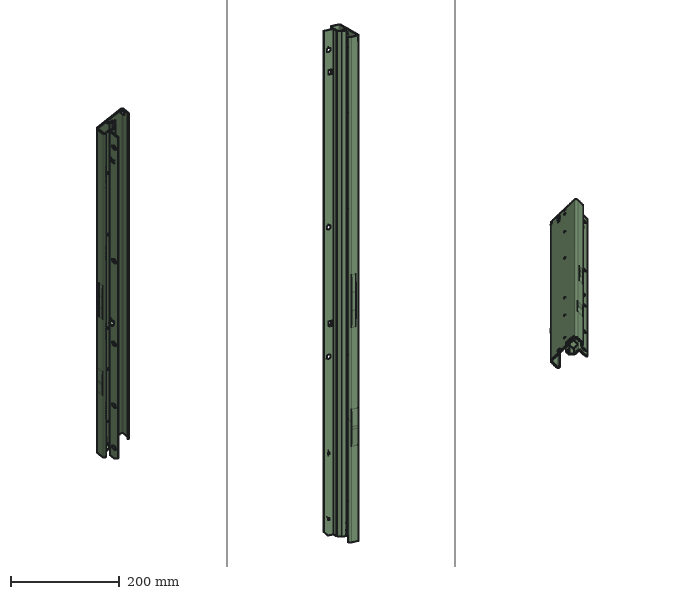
import cadquery as cq

LENGTH = 1000.0
TOTAL_WIDTH = 44.0
TOTAL_DEPTH = 71.0
SHEET = 2.5

BUMP_HEIGHT = 1.5
FLANGE_Y = TOTAL_DEPTH / 2 - BUMP_HEIGHT
RAIL_BEND = 4.0
FLANGE_WIDTH = 21.5
LIP_BEND = 4.0
LIP_DEPTH = 6.0

BUMP_RAMP = 34.0
BUMP_RIGHT = FLANGE_WIDTH - LIP_BEND
BUMPS = [(191.0, 264.0, 3.0), (426.0, 530.0, 8.0)]

FIXING_HOLE_Y = -4.5
FIXING_HOLE_DIAMETER = 4.0
FIXING_HOLE_HEIGHTS = [68.0, 230.0, 357.0, 646.0, 836.0, 965.0, 992.0]
MOUNT_HOLE_Y = 11.0
MOUNT_HOLE_DIAMETER = 7.0
MOUNT_HOLE_HEIGHTS = [20.0, 965.0, 980.0]
PILOT_HOLE_DIAMETER = 5.0
PILOT_HOLE_HEIGHT = 950.0

DIMPLE_Y = 31.0
DIMPLE_HEIGHT = 992.0
DIMPLE_DIAMETER = 6.0
DIMPLE_DEPTH = 2.0
DIMPLE_REACH = 9.0

WINDOW_BACK = -8.0
WINDOW_STEP_Y = -22.0
WINDOW_FRONT = -28.0
WINDOW_BOTTOM = 5.0
WINDOW_STEP_TOP = 16.0
WINDOW_TOP = 22.0
SLIT_FRONT = -20.0
SLIT_BACK = -17.0

STOP_THICKNESS = 3.0
STOP_REACH = 15.0
STOP_BACK = -12.0
STOP_FRONT = -24.0

LEG_RIGHT = 24.0
LEG_LEFT = LEG_RIGHT - SHEET
PLATE_FRONT = -21.0
PLATE_BACK = PLATE_FRONT + SHEET
PLATE_BEND = 3.0
PLATE_CHAMFER = 9.0
HOOK_LEFT = 8.0
HOOK_BACK = 0.5
HOOK_END = -8.0
KNEE_X = 17.0
KNEE_Y = -8.0

SCREW_X = 34.0
SCREW_HEAD_DIAMETER = 11.0
SCREW_HOLE_DIAMETER = 8.0
SCREW_HEIGHTS = [354.0, 610.0, 961.0]
SMALL_SCREW_HOLE_DIAMETER = 4.0
SMALL_SCREW_HEIGHTS = [33.0, 163.0]

SLOT_LEFT = LEG_LEFT + PLATE_BEND
SLOT_RIGHT = 34.0
SLOT_HEIGHT = 9.0
LOWER_SLOT_HEIGHT = 419.0
UPPER_SLOT_HEIGHT = 916.0
SHELF_FRONT = -25.0


def box(x_range, y_range, z_range):
    (x0, x1), (y0, y1), (z0, z1) = x_range, y_range, z_range
    return cq.Workplane("XY", origin=(x0, y0, z0)).box(x1 - x0, y1 - y0, z1 - z0, centered=False)


def x_cylinder(y, z, diameter, x0, x1):
    return cq.Workplane("YZ", origin=(x0, y, z)).circle(diameter / 2).extrude(x1 - x0)


def make_channel():
    full = (0, LENGTH)
    outside = box((0, FLANGE_WIDTH), (-FLANGE_Y, FLANGE_Y), full)
    outside = outside.edges("|Z and <X").fillet(RAIL_BEND)
    outside = outside.edges("|Z and >X").fillet(LIP_BEND)
    inner_y = FLANGE_Y - SHEET
    inside = box((SHEET, FLANGE_WIDTH - SHEET), (-inner_y, inner_y), full)
    inside = inside.edges("|Z and <X").fillet(RAIL_BEND - SHEET)
    inside = inside.edges("|Z and >X").fillet(LIP_BEND - SHEET)
    mouth_y = FLANGE_Y - LIP_DEPTH
    mouth = box((FLANGE_WIDTH / 2, FLANGE_WIDTH), (-mouth_y, mouth_y), full)
    return outside.cut(inside).cut(mouth)


def make_bump(low, high, left):
    """Front-flange bump: a ramp up, a flat crest and a ramp down."""
    root = -FLANGE_Y + SHEET / 2
    crest = -FLANGE_Y - BUMP_HEIGHT
    outline = [
        (root, low),
        (-FLANGE_Y, low),
        (crest, low + BUMP_RAMP),
        (crest, high - BUMP_RAMP),
        (-FLANGE_Y, high),
        (root, high),
    ]
    return cq.Workplane("YZ", origin=(left, 0, 0)).polyline(outline).close().extrude(BUMP_RIGHT - left)


def cut_wall_holes(rail):
    holes = [(FIXING_HOLE_Y, z, FIXING_HOLE_DIAMETER) for z in FIXING_HOLE_HEIGHTS]
    holes += [(MOUNT_HOLE_Y, z, MOUNT_HOLE_DIAMETER) for z in MOUNT_HOLE_HEIGHTS]
    holes.append((MOUNT_HOLE_Y, PILOT_HOLE_HEIGHT, PILOT_HOLE_DIAMETER))
    for y, z, diameter in holes:
        rail = rail.cut(x_cylinder(y, z, diameter, 0, SHEET))
    return rail


def press_dimple(rail):
    boss = x_cylinder(DIMPLE_Y, DIMPLE_HEIGHT, DIMPLE_DIAMETER, SHEET / 2, DIMPLE_REACH)
    recess = x_cylinder(DIMPLE_Y, DIMPLE_HEIGHT, DIMPLE_DIAMETER, 0, DIMPLE_DEPTH)
    return rail.union(boss).cut(recess)


def cut_window(rail):
    wall = (0, SHEET)
    low_part = box(wall, (WINDOW_FRONT, WINDOW_BACK), (WINDOW_BOTTOM, WINDOW_STEP_TOP))
    high_part = box(wall, (WINDOW_STEP_Y, WINDOW_BACK), (WINDOW_BOTTOM, WINDOW_TOP))
    slit = box(wall, (SLIT_FRONT, SLIT_BACK), (0, WINDOW_BOTTOM))
    return rail.cut(low_part).cut(high_part).cut(slit)


def make_outer_rail():
    rail = make_channel()
    for low, high, left in BUMPS:
        bump = make_bump(low, high, left)
        rail = rail.union(bump).union(bump.mirror("XZ"))
    rail = cut_wall_holes(rail)
    rail = press_dimple(rail)
    return cut_window(rail)


def make_stop():
    height = (WINDOW_BOTTOM, WINDOW_BOTTOM + STOP_THICKNESS)
    head = box((0, SHEET), (WINDOW_FRONT, WINDOW_BACK), height)
    stem = box((SHEET, STOP_REACH), (STOP_FRONT, STOP_BACK), height)
    return head.union(stem)


def make_bent_sheet():
    outline = [
        (HOOK_LEFT, HOOK_BACK),
        (KNEE_X, HOOK_BACK),
        (LEG_RIGHT, KNEE_Y),
        (LEG_RIGHT, PLATE_FRONT),
        (HOOK_LEFT, PLATE_FRONT),
    ]
    solid = cq.Workplane("XY").polyline(outline).close().extrude(LENGTH)
    core = cq.Workplane("XY").polyline(outline).close().offset2D(-SHEET).extrude(LENGTH)
    opening = box((HOOK_LEFT, LEG_LEFT), (PLATE_FRONT, HOOK_END), (0, LENGTH))
    hook_and_leg = solid.cut(core).cut(opening)
    plate = box((LEG_LEFT, TOTAL_WIDTH), (PLATE_FRONT, PLATE_BACK), (0, LENGTH))
    plate = plate.edges("|Y and >X and <Z").chamfer(PLATE_CHAMFER)
    sheet = hook_and_leg.union(plate)
    bend_edge = cq.selectors.NearestToPointSelector((LEG_LEFT, PLATE_FRONT, LENGTH / 2))
    return sheet.edges(bend_edge).fillet(PLATE_BEND)


def countersink(z, hole_diameter):
    """Cone narrowing from the front of the plate to the hole diameter at its back."""
    head = cq.Workplane("XZ", origin=(SCREW_X, PLATE_FRONT, z)).circle(SCREW_HEAD_DIAMETER / 2)
    return head.workplane(offset=-SHEET).circle(hole_diameter / 2).loft()


def make_inner_rail():
    rail = make_bent_sheet()
    for z in SCREW_HEIGHTS:
        rail = rail.cut(countersink(z, SCREW_HOLE_DIAMETER))
    for z in SMALL_SCREW_HEIGHTS:
        rail = rail.cut(countersink(z, SMALL_SCREW_HOLE_DIAMETER))
    slot_x = (SLOT_LEFT, SLOT_RIGHT)
    for z in (LOWER_SLOT_HEIGHT, UPPER_SLOT_HEIGHT):
        heights = (z - SLOT_HEIGHT / 2, z + SLOT_HEIGHT / 2)
        rail = rail.cut(box(slot_x, (PLATE_FRONT, PLATE_BACK), heights))
    shelf_top = LOWER_SLOT_HEIGHT - SLOT_HEIGHT / 2
    shelf = box(slot_x, (SHELF_FRONT, PLATE_BACK), (shelf_top - SHEET, shelf_top))
    return rail.union(shelf)


outer_rail = make_outer_rail()
stop = make_stop()
inner_rail = make_inner_rail()

result = cq.Compound.makeCompound([outer_rail.val(), stop.val(), inner_rail.val()])